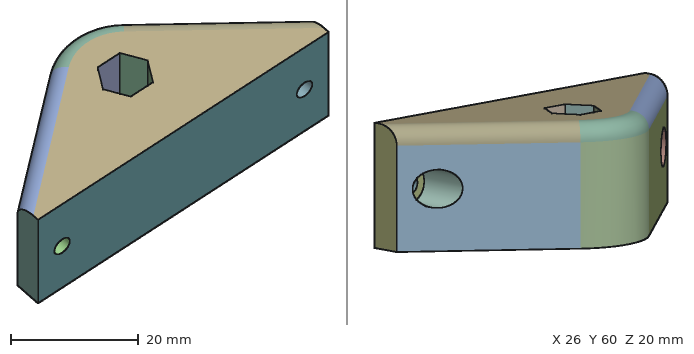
import cadquery as cq
import math

length = 60.0
height = 20.0
depth = 26.0
end_thickness = 5.0
nose_radius = 12.0
top_fillet = 3.0
hex_across_flats = 8.0
screw_diameter = 3.2
head_diameter = 6.1
head_floor_thickness = 3.0
screw_end_distance = 5.0

half_length = length / 2
nose_center_x = nose_radius - depth

corner_dx = -end_thickness - nose_center_x
corner_distance = math.hypot(corner_dx, half_length)
corner_angle = math.atan2(half_length, corner_dx)
tangent_angle = corner_angle + math.acos(nose_radius / corner_distance)
tangent_x = nose_center_x + nose_radius * math.cos(tangent_angle)
tangent_y = nose_radius * math.sin(tangent_angle)


def make_body():
    """Extrude the outline and round the top edge of the slopes and nose."""
    body = (
        cq.Workplane("XY")
        .moveTo(0, -half_length)
        .lineTo(-end_thickness, -half_length)
        .lineTo(tangent_x, -tangent_y)
        .threePointArc((-depth, 0), (tangent_x, tangent_y))
        .lineTo(-end_thickness, half_length)
        .lineTo(0, half_length)
        .close()
        .extrude(height)
    )
    edge_box = cq.selectors.BoxSelector(
        (-depth, -half_length, height - top_fillet),
        (-end_thickness, half_length, height + top_fillet),
    )
    return body.faces(">Z").edges(edge_box).fillet(top_fillet)


def make_hex_hole():
    """Vertical hexagonal hole with two flats facing along X."""
    across_corners = hex_across_flats / math.cos(math.pi / 6)
    return (
        cq.Workplane("XY")
        .center(nose_center_x, 0)
        .transformed(rotate=(0, 0, 90))
        .polygon(6, across_corners)
        .extrude(height)
    )


def make_screw_hole(y):
    """Counterbored hole along X, entered from the sloped side."""
    axis_plane = cq.Workplane("YZ").center(y, height / 2)
    shank = axis_plane.circle(screw_diameter / 2).extrude(-depth)
    head = (
        axis_plane.workplane(offset=-head_floor_thickness)
        .circle(head_diameter / 2)
        .extrude(head_floor_thickness - depth)
    )
    return shank.union(head)


result = make_body().cut(make_hex_hole())
for side in (-1, 1):
    result = result.cut(make_screw_hole(side * (half_length - screw_end_distance)))